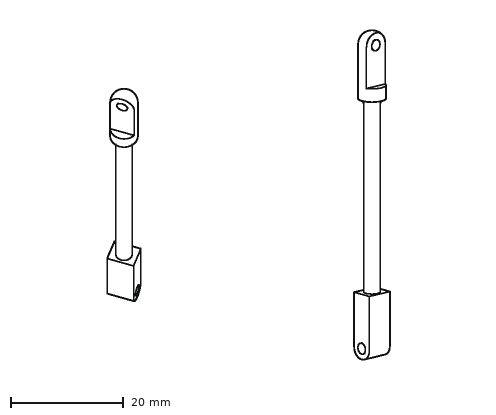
import cadquery as cq

total_length = 60.0
head_diameter = 5.0
rod_diameter = 3.0
hole_diameter = 2.0

head_length = 12.5
flat_length = 10.0
flat_offset = 1.0

foot_height = 12.0
foot_depth = 4.0

head_radius = head_diameter / 2
rod_radius = rod_diameter / 2
hole_radius = hole_diameter / 2
neck_radius = head_radius - rod_radius
foot_width = head_diameter
foot_radius = foot_depth / 2
head_bottom = total_length - head_length
dome_center_height = total_length - head_radius
cos_45 = 0.5 ** 0.5


def make_rod_and_head():
    """Revolve the rod, the concave neck, the head and its dome about Z."""
    neck_bottom = head_bottom - neck_radius
    neck_middle = (
        head_radius - neck_radius * cos_45,
        neck_bottom + neck_radius * cos_45,
    )
    dome_middle = (head_radius * cos_45, dome_center_height + head_radius * cos_45)
    return (
        cq.Workplane("XZ")
        .moveTo(0, foot_height)
        .lineTo(rod_radius, foot_height)
        .lineTo(rod_radius, neck_bottom)
        .threePointArc(neck_middle, (head_radius, head_bottom))
        .lineTo(head_radius, dome_center_height)
        .threePointArc(dome_middle, (0, total_length))
        .close()
        .revolve(360, (0, 0, 0), (0, 1, 0))
    )


def make_flat_cutter():
    """Block that removes the -Y side of the head above its collar."""
    return cq.Workplane("XY").box(
        head_diameter, head_radius, flat_length, centered=(True, False, False)
    ).translate((0, -flat_offset - head_radius, total_length - flat_length))


def make_dimple_cutter():
    """Ball centred on the flat, leaving a hemispherical socket."""
    return cq.Workplane("XY").sphere(hole_radius).translate(
        (0, -flat_offset, dome_center_height)
    )


def make_foot():
    """Block rounded about X, with a pin hole through the rounded end."""
    block = (
        cq.Workplane("YZ")
        .moveTo(-foot_radius, foot_height)
        .lineTo(-foot_radius, foot_radius)
        .threePointArc((0, 0), (foot_radius, foot_radius))
        .lineTo(foot_radius, foot_height)
        .close()
        .extrude(foot_width / 2, both=True)
    )
    pin_hole = (
        cq.Workplane("YZ")
        .center(0, foot_radius)
        .circle(hole_radius)
        .extrude(foot_width, both=True)
    )
    return block.cut(pin_hole)


head_and_rod = make_rod_and_head().cut(make_flat_cutter()).cut(make_dimple_cutter())
result = head_and_rod.union(make_foot())